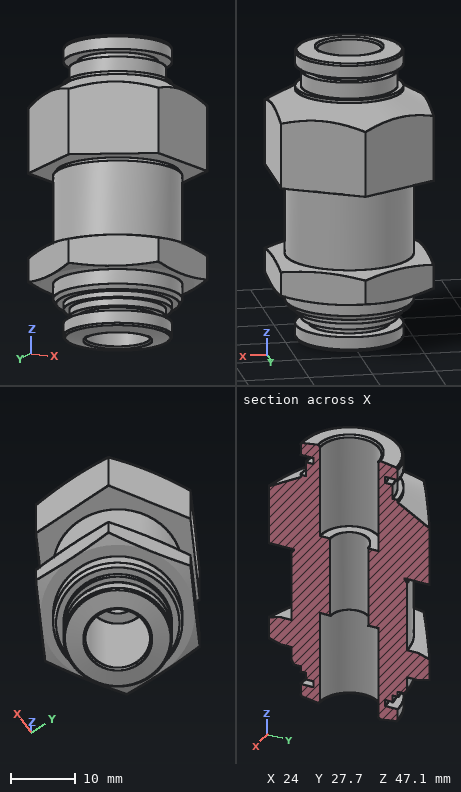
import cadquery as cq
import math

length = 47.1
across_flats = 24.0
corner_radius = across_flats / math.sqrt(3)

body_radius = 20.0 / 2
flange_radius = 16.8 / 2
collar_radius = 15.0 / 2
neck_radius = 12.5 / 2
tube_radius = 10.0 / 2
passage_radius = 6.5 / 2

flange_height = 2.75
neck_end = 3.7
flange_face_radius = 5.5
flange_face_drop = 0.42
flange_edge_drop = 0.75
flange_edge_inset = 0.25
mouth_radius = 5.3
mouth_chamfer_depth = 0.35

socket_depth = 16.5

lower_rim_base = 4.9
body_base = 5.85
body_base_chamfer_height = 0.75
body_chamfer_inset = 0.45
nut_base = 8.9
nut_top = 13.95
hex_base = 26.8
body_top_chamfer_height = 0.6
upper_rim_base = 40.35
upper_rim_top = 40.85

hex_cone_angle = 30.0
nut_face_radius = 11.9
nut_corner_drop = 0.6


def revolve(points):
    """Turn an (r, z) outline around the Z axis."""
    return cq.Workplane("XZ").polyline(points).close().revolve(360, (0, 0, 0), (0, 1, 0))


def cylinder(radius, bottom, top):
    return cq.Workplane("XY").workplane(offset=bottom).circle(radius).extrude(top - bottom)


def hexagon(bottom, top):
    return (
        cq.Workplane("XY")
        .workplane(offset=bottom)
        .polygon(6, 2 * corner_radius)
        .extrude(top - bottom)
        .rotate((0, 0, 0), (0, 0, 1), 90)
    )


def release_flange():
    """Bottom flange on its neck, with a flat land, a slightly conical face and a bevelled rim."""
    return revolve([
        (0, 0),
        (flange_face_radius, 0),
        (flange_radius - flange_edge_inset, flange_face_drop),
        (flange_radius, flange_edge_drop),
        (flange_radius, flange_height),
        (neck_radius, flange_height),
        (neck_radius, neck_end),
        (0, neck_end),
    ])


def tube_socket():
    """Socket cavity with a chamfered mouth, at the bottom end."""
    return revolve([
        (0, 0),
        (mouth_radius, 0),
        (tube_radius, mouth_chamfer_depth),
        (tube_radius, socket_depth),
        (0, socket_depth),
    ])


def at_top(shape):
    """Mirrored copy of a bottom-end feature, at the top end."""
    return shape.mirror("XY", (0, 0, length / 2))


def body():
    """Turned body between the two release flanges, with chamfered ends."""
    chamfer_radius = body_radius - body_chamfer_inset
    barrel = revolve([
        (0, body_base),
        (chamfer_radius, body_base),
        (body_radius, body_base + body_base_chamfer_height),
        (body_radius, hex_base - body_top_chamfer_height),
        (chamfer_radius, hex_base),
        (0, hex_base),
    ])
    collars = cylinder(collar_radius, neck_end, length - neck_end)
    lower_rim = cylinder(flange_radius, lower_rim_base, body_base)
    upper_rim = cylinder(flange_radius, upper_rim_base, upper_rim_top)
    return barrel.union(collars).union(lower_rim).union(upper_rim)


def body_hexagon():
    """Large hexagon that tapers to the upper rim as a cone."""
    cone_drop = (corner_radius - flange_radius) * math.tan(math.radians(hex_cone_angle))
    envelope = revolve([
        (0, hex_base),
        (corner_radius, hex_base),
        (corner_radius, upper_rim_base - cone_drop),
        (flange_radius, upper_rim_base),
        (0, upper_rim_base),
    ])
    return hexagon(hex_base, upper_rim_base).intersect(envelope)


def lock_nut():
    """Thin hexagon nut with its corners chamfered on both faces."""
    envelope = revolve([
        (0, nut_base),
        (nut_face_radius, nut_base),
        (corner_radius, nut_base + nut_corner_drop),
        (corner_radius, nut_top - nut_corner_drop),
        (nut_face_radius, nut_top),
        (0, nut_top),
    ])
    return hexagon(nut_base, nut_top).intersect(envelope)


flange = release_flange()
socket = tube_socket()
passage = cylinder(passage_radius, 0, length)

result = body().union(body_hexagon()).union(lock_nut())
result = result.union(flange).union(at_top(flange))
result = result.cut(socket).cut(at_top(socket)).cut(passage)